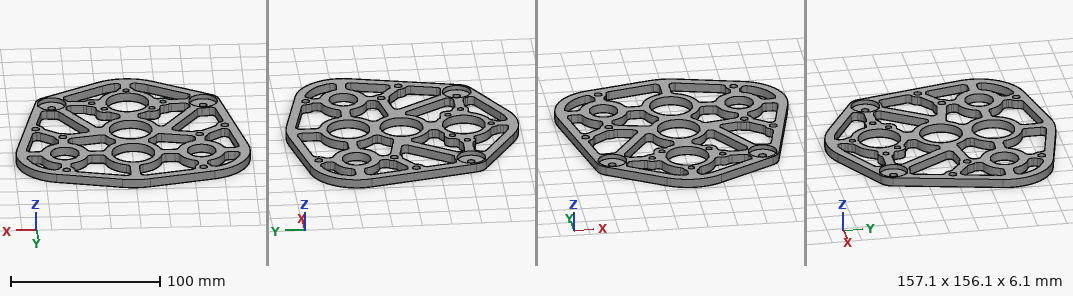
import cadquery as cq
import math

INCH = 25.4
overall_width = 157.06
overall_height = 156.14
thickness = 6.1
rim_width = INCH / 4
web_width = INCH / 4
lower_neck_width = 12.2
upper_neck_width = 22.1
corner_radius = INCH / 8

main_bore_diameter = 1.125 * INCH
mid_bore_y = 42.0
top_bore_y = 77.7
side_bore_diameter = 0.75 * INCH
side_bore_x = 45.86
side_bore_y = 76.65
main_ring_radius = 0.75 * INCH
top_ring_radius = 19.4
side_ring_radius = 0.625 * INCH

mount_hole_diameter = 5.1
mount_boss_radius = 5.5
side_hole_spacing = INCH
rim_hole_x = 2.5 * INCH
rim_hole_y = 1.5 * INCH

motor_hole_diameter = 4.1
motor_boss_radius = 5.4
motor_circle_radius = 18.42
motor_hole_angles = (30, 150, 270)
outer_motor_hole_x = 23.84

corner_x = 2 * INCH
counterbore_diameter = 0.75 * INCH
counterbore_depth = INCH / 8
corner_boss_radius = 11.1

bottom_arc_radius = 36.6
side_arc_radius = overall_width / 2 - side_bore_x
top_arc_radius = overall_height - bottom_arc_radius - top_bore_y

lower_bore = (0, 0)
mid_bore = (0, mid_bore_y)
top_bore = (0, top_bore_y)
upper_side_hole_y = side_bore_y + side_hole_spacing
lower_side_hole_y = side_bore_y - side_hole_spacing


def both_sides(x, y):
    """The point and its mirror image across the centre line."""
    return [(x, y), (-x, y)]


side_bores = both_sides(side_bore_x, side_bore_y)
upper_side_holes = both_sides(side_bore_x, upper_side_hole_y)
lower_side_holes = both_sides(side_bore_x, lower_side_hole_y)
rim_holes = both_sides(rim_hole_x, rim_hole_y)
mount_holes = upper_side_holes + lower_side_holes + rim_holes
corners = both_sides(corner_x, 0)
motor_holes = both_sides(outer_motor_hole_x, 0) + [
    (
        motor_circle_radius * math.cos(math.radians(angle)),
        motor_circle_radius * math.sin(math.radians(angle)),
    )
    for angle in motor_hole_angles
]


def tangent_points(circle, following):
    """Ends of the outer tangent line from one circle to the next, going counterclockwise."""
    x1, y1, r1 = circle
    x2, y2, r2 = following
    distance = math.hypot(x2 - x1, y2 - y1)
    heading = math.atan2(y2 - y1, x2 - x1)
    normal = heading - math.pi / 2 - math.asin((r2 - r1) / distance)
    nx, ny = math.cos(normal), math.sin(normal)
    return (x1 + r1 * nx, y1 + r1 * ny), (x2 + r2 * nx, y2 + r2 * ny)


def outline(inset):
    """Solid bounded by the tangent lines and arcs around the corner circles, drawn in by inset."""
    circles = [
        (0, 0, bottom_arc_radius - inset),
        (corner_x, 0, corner_boss_radius - inset),
        (side_bore_x, side_bore_y, side_arc_radius - inset),
        (0, top_bore_y, top_arc_radius - inset),
        (-side_bore_x, side_bore_y, side_arc_radius - inset),
        (-corner_x, 0, corner_boss_radius - inset),
    ]
    following = circles[1:] + circles[:1]
    lines = [tangent_points(circle, after) for circle, after in zip(circles, following)]
    sketch = cq.Workplane("XY").moveTo(*lines[-1][1])
    arrival = lines[-1][1]
    for (x, y, radius), (start, end) in zip(circles, lines):
        direction = math.atan2((arrival[1] + start[1]) / 2 - y, (arrival[0] + start[0]) / 2 - x)
        arc_middle = (x + radius * math.cos(direction), y + radius * math.sin(direction))
        sketch = sketch.threePointArc(arc_middle, start).lineTo(*end)
        arrival = end
    return sketch.close().extrude(thickness)


def discs(points, radius, height=thickness):
    """Upright cylinders standing on the bottom plane at the given points."""
    return cq.Workplane("XY").pushPoints(points).circle(radius).extrude(height)


def web(start, end, width):
    """Straight bar of the given width between two points."""
    dx, dy = end[0] - start[0], end[1] - start[1]
    return (
        cq.Workplane("XY")
        .center((start[0] + end[0]) / 2, (start[1] + end[1]) / 2)
        .transformed(rotate=(0, 0, math.degrees(math.atan2(dy, dx))))
        .rect(math.hypot(dx, dy), width)
        .extrude(thickness)
    )


def webs(width):
    """Centre spine plus the bars of both halves."""
    bars = web((0, -bottom_arc_radius), (0, top_bore_y + top_arc_radius), width)
    diagonal_end_x = corner_x * (1 - mid_bore_y / top_bore_y)
    rim_reach = 1 + side_arc_radius / side_bore_x
    rim_end = (side_bore_x * rim_reach, top_bore_y + (side_bore_y - top_bore_y) * rim_reach)
    for side in (1, -1):
        bores_bar = web(top_bore, (side * rim_end[0], rim_end[1]), width)
        holes_bar = web(
            (side * side_bore_x, lower_side_hole_y),
            (side * side_bore_x, upper_side_hole_y),
            width,
        )
        mid_bar = web(mid_bore, (side * side_bore_x, lower_side_hole_y), width)
        rim_bar = web((side * side_bore_x, lower_side_hole_y), (side * rim_hole_x, rim_hole_y), width)
        diagonal = web((side * corner_x, 0), (side * diagonal_end_x, mid_bore_y), width)
        for bar in (bores_bar, holes_bar, mid_bar, rim_bar, diagonal):
            bars = bars.union(bar)
    return bars.union(web(corners[0], corners[1], width))


def pockets():
    """Openings left between rim, rings, bosses and webs, with rounded corners."""
    cores = outline(rim_width + corner_radius)
    for solid in (
        discs([lower_bore, mid_bore], main_ring_radius + corner_radius),
        discs([top_bore], top_ring_radius + corner_radius),
        discs(side_bores, side_ring_radius + corner_radius),
        discs(mount_holes, mount_boss_radius + corner_radius),
        discs(motor_holes, motor_boss_radius + corner_radius),
        discs(corners, corner_boss_radius + corner_radius),
        webs(web_width + 2 * corner_radius),
        web(lower_bore, mid_bore, lower_neck_width + 2 * corner_radius),
        web(mid_bore, top_bore, upper_neck_width + 2 * corner_radius),
    ):
        cores = cores.cut(solid)
    return cores.faces("<Z").wires().toPending().offset2D(corner_radius).extrude(thickness)


def bores_and_holes():
    """Cutters for everything that passes through the plate."""
    return (
        discs([lower_bore, mid_bore, top_bore], main_bore_diameter / 2)
        .union(discs(side_bores, side_bore_diameter / 2))
        .union(discs(mount_holes + corners, mount_hole_diameter / 2))
        .union(discs(motor_holes, motor_hole_diameter / 2))
    )


def counterbores():
    """Cutters sunk from the top face around the corner holes."""
    cutters = discs(corners, counterbore_diameter / 2, counterbore_depth)
    return cutters.translate((0, 0, thickness - counterbore_depth))


result = outline(0).cut(pockets()).cut(bores_and_holes()).cut(counterbores())